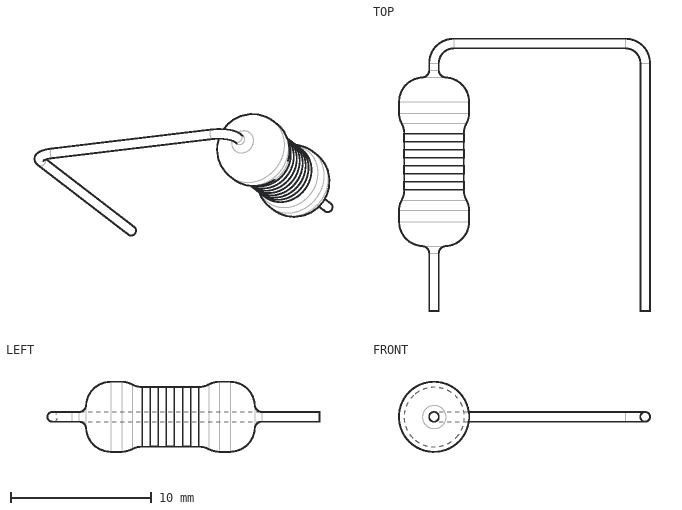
import cadquery as cq
import math


wire_diameter = 0.7
lead_pitch = 15.0
bend_radius = 2 * wire_diameter
tip_to_body_center = 10.6

body_length = 12.0
head_diameter = 5.0
waist_diameter = 4.25
dome_radius = 1.75
shoulder_radius = 1.5
collar_radius = 0.5
collar_to_bend = 0.5

waist_length = 4.0
band_diameter = 4.27
segment_count = 7

wire_radius = wire_diameter / 2
head_radius = head_diameter / 2
waist_radius = waist_diameter / 2
half_waist = waist_length / 2
segment_length = waist_length / segment_count

shoulder_mid_radius = (head_radius + waist_radius) / 2
shoulder_arc_rise = head_radius - shoulder_mid_radius
shoulder_arc_run = math.sqrt(shoulder_radius**2 - (shoulder_radius - shoulder_arc_rise) ** 2)
shoulder_half_angle = math.asin(shoulder_arc_run / shoulder_radius) / 2
shoulder_mid = half_waist + shoulder_arc_run
shoulder_end = half_waist + 2 * shoulder_arc_run

dome_center_radius = head_radius - dome_radius
dome_start = body_length / 2 - dome_radius
collar_center_radius = wire_radius + collar_radius
center_offset = collar_center_radius - dome_center_radius
center_distance = dome_radius + collar_radius
collar_end = dome_start + math.sqrt(center_distance**2 - center_offset**2)
contact_angle = math.acos(center_offset / center_distance)

fold_y = tip_to_body_center + collar_end + collar_to_bend + bend_radius
bend_start_y = fold_y - bend_radius


def arc_point(center, radius, angle):
    return (center[0] + radius * math.cos(angle), center[1] + radius * math.sin(angle))


def make_body_end():
    """Revolved +Y end of a body centered on the origin: shoulder, head, dome and collar."""
    dome_center = (dome_center_radius, dome_start)
    collar_center = (collar_center_radius, collar_end)
    waist_arc_center = (waist_radius + shoulder_radius, half_waist)
    head_arc_center = (head_radius - shoulder_radius, shoulder_end)
    profile = (
        cq.Workplane("XY")
        .moveTo(0, half_waist)
        .lineTo(waist_radius, half_waist)
        .threePointArc(
            arc_point(waist_arc_center, shoulder_radius, math.pi - shoulder_half_angle),
            (shoulder_mid_radius, shoulder_mid),
        )
        .threePointArc(
            arc_point(head_arc_center, shoulder_radius, -shoulder_half_angle),
            (head_radius, shoulder_end),
        )
        .lineTo(head_radius, dome_start)
        .threePointArc(
            arc_point(dome_center, dome_radius, contact_angle / 2),
            arc_point(dome_center, dome_radius, contact_angle),
        )
        .threePointArc(
            arc_point(collar_center, collar_radius, math.pi + contact_angle / 2),
            (wire_radius, collar_end),
        )
        .lineTo(0, collar_end)
        .close()
    )
    return profile.revolve(360, (0, 0, 0), (0, 1, 0))


def circle_across_y(y, radius):
    plane = cq.Plane(origin=(0, y, 0), xDir=(1, 0, 0), normal=(0, 1, 0))
    return cq.Workplane(plane).circle(radius)


def cylinder_along_y(radius, start_y, length):
    return circle_across_y(start_y, radius).extrude(length)


def make_body():
    body_end = make_body_end()
    waist = cylinder_along_y(waist_radius, -half_waist, waist_length)
    body = waist.union(body_end).union(body_end.mirror("XZ"))
    for index in range(0, segment_count, 2):
        band_start = -half_waist + index * segment_length
        body = body.union(cylinder_along_y(band_diameter / 2, band_start, segment_length))
    return body.translate((0, tip_to_body_center, 0))


def make_straight_lead():
    return cylinder_along_y(wire_radius, 0, tip_to_body_center - collar_end)


def make_folded_lead():
    """Lead that leaves the far collar, crosses over and returns beside the body."""
    collar_end_y = tip_to_body_center + collar_end
    bend_mid = bend_radius * math.sin(math.pi / 4)
    route = (
        cq.Workplane("XY")
        .moveTo(0, collar_end_y)
        .lineTo(0, bend_start_y)
        .threePointArc((bend_radius - bend_mid, bend_start_y + bend_mid), (bend_radius, fold_y))
        .lineTo(lead_pitch - bend_radius, fold_y)
        .threePointArc(
            (lead_pitch - bend_radius + bend_mid, bend_start_y + bend_mid),
            (lead_pitch, bend_start_y),
        )
        .lineTo(lead_pitch, 0)
    )
    return circle_across_y(collar_end_y, wire_radius).sweep(route)


result = make_body().union(make_straight_lead()).union(make_folded_lead())